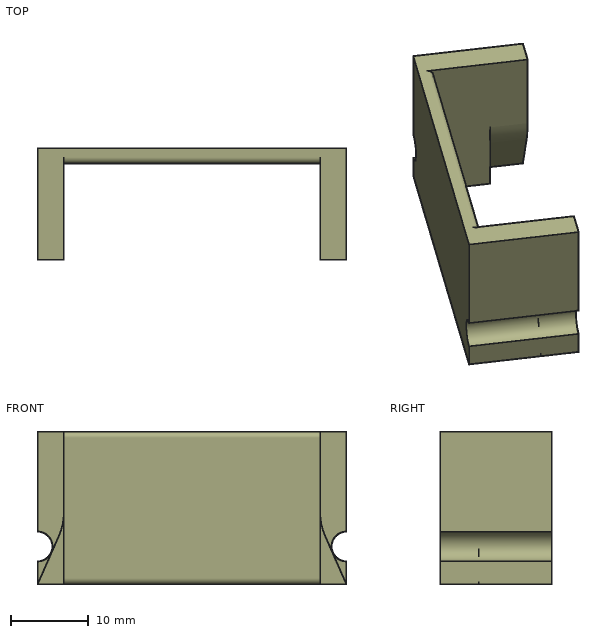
import cadquery as cq
import math

LENGTH = 39.8
DEPTH = 14.35
HEIGHT = 19.7
LEG_WIDTH = 3.4

WALL_THICKNESS = 2.0
WALL_EDGE_RADIUS = 0.8

GROOVE_RADIUS = 1.9
GROOVE_HEIGHT = 4.9

RELIEF_DEPTH = 4.95
RELIEF_ANGLE = 23.8
RELIEF_BEND = 1.6

FRONT_Y = -DEPTH / 2
BACK_Y = DEPTH / 2
OUTER_X = -LENGTH / 2
INNER_X = OUTER_X + LEG_WIDTH


def make_wall():
    """Back wall with both long edges of its inner face rounded."""
    wall = cq.Workplane("XY").box(
        LENGTH - 2 * LEG_WIDTH, WALL_THICKNESS, HEIGHT, centered=(True, False, False)
    )
    wall = wall.faces("<Y").edges("|X").fillet(WALL_EDGE_RADIUS)
    return wall.translate((0, BACK_Y - WALL_THICKNESS, 0))


def make_relief():
    """Cutter whose slope runs from the outer bottom edge and curves into the inner face."""
    angle = math.radians(RELIEF_ANGLE)
    corner_z = LEG_WIDTH / math.tan(angle)
    bend_radius = RELIEF_BEND / math.tan(angle / 2)
    arc_top_z = corner_z + RELIEF_BEND
    slope_end = (
        INNER_X - RELIEF_BEND * math.sin(angle),
        corner_z - RELIEF_BEND * math.cos(angle),
    )
    arc_middle = (
        INNER_X - bend_radius * (1 - math.cos(angle / 2)),
        arc_top_z - bend_radius * math.sin(angle / 2),
    )
    return (
        cq.Workplane("XZ", origin=(0, FRONT_Y, 0))
        .moveTo(OUTER_X, 0)
        .lineTo(*slope_end)
        .threePointArc(arc_middle, (INNER_X, arc_top_z))
        .lineTo(INNER_X, 0)
        .close()
        .extrude(-RELIEF_DEPTH)
    )


def make_left_leg():
    """Leg at the -X end with its groove and sloped relief."""
    leg = cq.Workplane("XY").box(LEG_WIDTH, DEPTH, HEIGHT, centered=False)
    leg = leg.translate((OUTER_X, FRONT_Y, 0))
    groove = (
        cq.Workplane("XZ", origin=(0, FRONT_Y, 0))
        .center(OUTER_X, GROOVE_HEIGHT)
        .circle(GROOVE_RADIUS)
        .extrude(-DEPTH)
    )
    return leg.cut(groove).cut(make_relief())


left_leg = make_left_leg()
right_leg = left_leg.mirror("YZ")
result = make_wall().union(left_leg).union(right_leg)